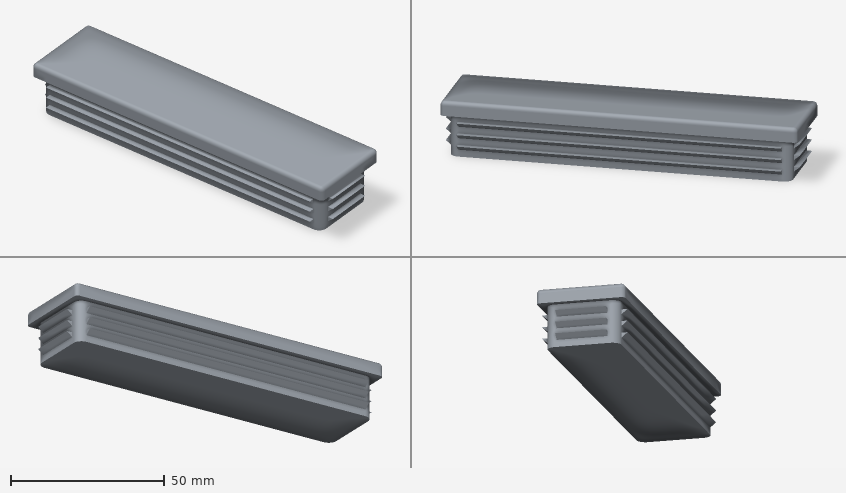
import cadquery as cq

cap_length = 120.0
cap_width = 30.0
total_height = 19.5
cap_height = 4.9
cap_corner_radius = 1.5
cap_top_radius = 1.5

cap_overhang = 2.5
body_length = cap_length - 2 * cap_overhang
body_width = cap_width - 2 * cap_overhang
body_height = total_height - cap_height
body_corner_radius = 3.0

fin_count = 3
fin_pitch = 4.0
fin_height = 1.7
fin_reach = 2.0
first_fin_drop = 2.5
long_fin_length = body_length - 2 * body_corner_radius
short_fin_length = 17.3
fin_root = 0.6


def make_cap():
    cap = cq.Workplane("XY").workplane(offset=body_height).rect(cap_length, cap_width).extrude(cap_height)
    cap = cap.edges("|Z").fillet(cap_corner_radius)
    return cap.faces(">Z").edges().fillet(cap_top_radius)


def make_body():
    body = cq.Workplane("XY").rect(body_length, body_width).extrude(body_height)
    return body.edges("|Z").fillet(body_corner_radius)


def make_fin(face_distance, length, top_z):
    """Fin on the +X side, with its root on the plane X = face_distance."""
    bottom_z = top_z - fin_height
    profile = [
        (face_distance - fin_root, top_z),
        (face_distance + fin_reach, top_z),
        (face_distance, bottom_z),
        (face_distance - fin_root, bottom_z),
    ]
    return cq.Workplane("XZ").polyline(profile).close().extrude(length / 2, both=True)


result = make_body().union(make_cap())

sides = [
    (0, body_length / 2, short_fin_length),
    (90, body_width / 2, long_fin_length),
    (180, body_length / 2, short_fin_length),
    (270, body_width / 2, long_fin_length),
]
for angle, face_distance, fin_length in sides:
    for index in range(fin_count):
        fin_top = body_height - first_fin_drop - index * fin_pitch
        fin = make_fin(face_distance, fin_length, fin_top)
        result = result.union(fin.rotate((0, 0, 0), (0, 0, 1), angle))